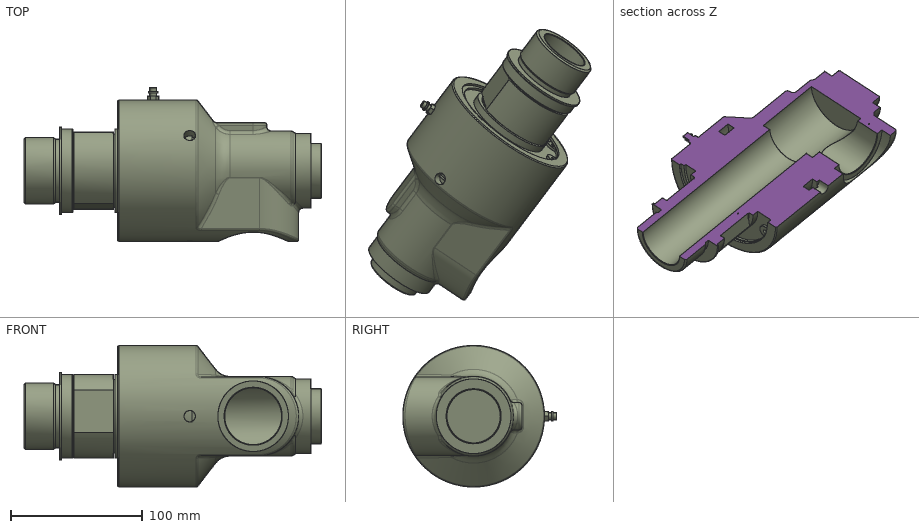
import cadquery as cq
import math

TOTAL_LENGTH = 227.0
HOUSING_DIA = 108.0
BORE_DIA = 37.2

THREAD_DIA = 50.8
THREAD_LENGTH = 24.0
THREAD_CHAMFER = 1.4
NECK_DIA = 48.3
FLANGE_DIA = 66.7
FLANGE_START = 27.2
FLANGE_WIDTH = 1.5
SHAFT_DIA = 64.0
COLLAR_END = 37.5
COLLAR_CHAMFER = 0.7
FLATS_START = 38.1
FLATS_END = 68.3
RELIEF_DIA = 56.3
END_COLLAR_START = 69.5
FLATS_ACROSS = 55.0
FLATS_TILT = 8.0
BORE_MOUTH_DIA = 38.1

HOUSING_START = 71.5
HOUSING_CHAMFER = 1.0
DRUM_END = 132.0
CONE_END = 150.2
CONE_BLEND_RADIUS = 13.6
BARREL_DIA = 60.8
BARREL_END = 204.5
END_CAP_START = 207.2
END_CAP_DIA = 57.0
END_CAP_END = 218.7
TIP_DIA = 42.0
TIP_CHAMFER = 0.7

ARM_HALF_WIDTH = 30.0
ARM_ROUND_X = 179.5
ARM_OVERLAP = 11.3
ARM_RIM_FILLET = 1.8
ARM_BLEND = 3.2
PORT_X = 174.7
PORT_DIA = 43.3
PORT_MOUTH_DIA = 44.2
SPOT_FACE_DIA = 53.8
SPOT_FACE_Y = -45.4
CHAMBER_DIA = 50.0
CHAMBER_START = 145.2
CHAMBER_END = 199.7

PAD_START = 136.1
PAD_ROUND_X = PORT_X
PAD_HALF_WIDTH = 10.5
PAD_TOP_Y = 36.8
PAD_TOP_FILLET = 2.0
PAD_ROOT_FILLET = 3.2

SEAT_DIA = 90.0
SEAT_DEPTH = 3.5
RING_THICKNESS = 1.8
RING_INNER_DIA = 86.7
RING_OFFSET = 1.5
LUG_Y = -41.0
LUG_Z = 14.5
LUG_DIA = 10.7
LUG_HOLE_DIA = 3.5

WEEP_DIA = 8.6
WEEP_X = 126.5
WEEP_COUNT = 3
WEEP_DEPTH = 9.0
WEEP_GROOVE_START = 118.0
WEEP_GROOVE_END = 128.0
WEEP_GROOVE_OUTER_DIA = 92.1
WEEP_GROOVE_INNER_DIA = 80.8

NIPPLE_X = 98.5
NIPPLE_TIP_Y = 63.3
NIPPLE_EMBED = 2.3
NIPPLE_HEX_DIA = 8.6
NIPPLE_HEX_TOP_Y = 57.0
NIPPLE_NECK_DIA = 5.5
NIPPLE_BEAD_DIA = 7.3
NIPPLE_BEAD_Y = 60.0
NIPPLE_BEAD_HEIGHT = 1.4

EDGE_MARGIN = 0.2

HOUSING_RADIUS = HOUSING_DIA / 2
BARREL_RADIUS = BARREL_DIA / 2


def disc_x(diameter, start, end, y=0.0, z=0.0):
    """Cylinder parallel to X between two X positions."""
    return cq.Workplane("YZ", origin=(start, y, z)).circle(diameter / 2).extrude(end - start)


def disc_y(diameter, x, start, end):
    """Cylinder parallel to Y at the given X, between two Y positions."""
    base = cq.Vector(x, start, 0)
    return cq.Workplane(cq.Solid.makeCylinder(diameter / 2, end - start, base, cq.Vector(0, 1, 0)))


def bevel_cone(mouth_dia, hole_dia, base, direction):
    """Cone that bevels the mouth of a hole at 45 degrees."""
    depth = (mouth_dia - hole_dia) / 2
    cone = cq.Solid.makeCone(mouth_dia / 2, hole_dia / 2, depth, cq.Vector(*base), cq.Vector(*direction))
    return cq.Workplane(cone)


def slot_y(start_x, round_x, half_width, start_y, end_y):
    """Block along X with a full-round +X end, raised along Y."""
    block = cq.Workplane("XY").box(round_x - start_x, end_y - start_y, 2 * half_width, centered=False)
    block = block.translate((start_x, start_y, -half_width))
    return block.union(disc_y(2 * half_width, round_x, start_y, end_y))


def edges_within(body, low, high):
    """Edges that lie wholly inside the box between two corners."""
    return body.edges(cq.selectors.BoxSelector(low, high, boundingbox=True))


def make_shaft():
    """Threaded spigot, neck, flange, collars and the section with two wrench flats."""
    shaft_end = HOUSING_START + SEAT_DEPTH
    thread = disc_x(THREAD_DIA, 0, THREAD_LENGTH).edges().chamfer(THREAD_CHAMFER)
    neck = disc_x(NECK_DIA, THREAD_LENGTH - THREAD_CHAMFER, FLANGE_START)
    flange = disc_x(FLANGE_DIA, FLANGE_START, FLANGE_START + FLANGE_WIDTH)
    collar = disc_x(SHAFT_DIA, FLANGE_START, COLLAR_END).faces(">X").chamfer(COLLAR_CHAMFER)
    core = disc_x(FLATS_ACROSS, FLANGE_START, FLATS_START)
    relief = disc_x(RELIEF_DIA, FLATS_END, END_COLLAR_START)
    end_collar = disc_x(SHAFT_DIA, END_COLLAR_START, shaft_end)

    flats = cq.Workplane("XY").box(TOTAL_LENGTH, FLATS_ACROSS, HOUSING_DIA)
    flats = flats.rotate((0, 0, 0), (1, 0, 0), -FLATS_TILT)
    wrench = disc_x(SHAFT_DIA, FLATS_START, FLATS_END).intersect(flats)

    shaft = thread
    for section in (neck, flange, collar, core, wrench, relief, end_collar):
        shaft = shaft.union(section)
    return shaft


def make_turned_housing():
    """Drum, cone and barrel as one revolved outline, with a tangent arc at the cone foot."""
    slope = math.atan2(HOUSING_RADIUS - BARREL_RADIUS, CONE_END - DRUM_END)
    tangent = CONE_BLEND_RADIUS * math.tan(slope / 2)
    arc_start = (CONE_END - tangent * math.cos(slope), BARREL_RADIUS + tangent * math.sin(slope))
    arc_end = (CONE_END + tangent, BARREL_RADIUS)
    arc_mid = (
        arc_end[0] - CONE_BLEND_RADIUS * math.sin(slope / 2),
        BARREL_RADIUS + CONE_BLEND_RADIUS * (1 - math.cos(slope / 2)),
    )
    return (
        cq.Workplane("XY")
        .moveTo(HOUSING_START, 0)
        .lineTo(HOUSING_START, HOUSING_RADIUS - HOUSING_CHAMFER)
        .lineTo(HOUSING_START + HOUSING_CHAMFER, HOUSING_RADIUS)
        .lineTo(DRUM_END, HOUSING_RADIUS)
        .lineTo(*arc_start)
        .threePointArc(arc_mid, arc_end)
        .lineTo(BARREL_END, BARREL_RADIUS)
        .lineTo(END_CAP_START, END_CAP_DIA / 2)
        .lineTo(END_CAP_END, END_CAP_DIA / 2)
        .lineTo(END_CAP_END, 0)
        .close()
        .revolve(360, (0, 0, 0), (1, 0, 0))
    )


def make_arm():
    """Port arm: flat sides, round end, and an outer face that continues the drum surface."""
    start = DRUM_END - ARM_OVERLAP
    arm = slot_y(start, ARM_ROUND_X, ARM_HALF_WIDTH, -HOUSING_RADIUS, 0)
    return arm.intersect(disc_x(HOUSING_DIA, start, TOTAL_LENGTH))


def blend_arm(body):
    """Round the corners where the arm meets the cone, the barrel and the end cap, and its outer rim."""
    side = ARM_HALF_WIDTH + EDGE_MARGIN
    round_start = ARM_ROUND_X - EDGE_MARGIN
    round_end = ARM_ROUND_X + side
    rim_inner_y = -math.sqrt(HOUSING_RADIUS**2 - ARM_HALF_WIDTH**2)

    low = (DRUM_END - EDGE_MARGIN, rim_inner_y - EDGE_MARGIN, -side)
    high = (CONE_END + CONE_BLEND_RADIUS, -EDGE_MARGIN, side)
    body = edges_within(body, low, high).edges("%HYPERBOLA or %BSPLINE").fillet(ARM_BLEND)

    low = (round_start, -BARREL_RADIUS, -side)
    high = (round_end, -EDGE_MARGIN, side)
    body = edges_within(body, low, high).edges("%BSPLINE").fillet(ARM_BLEND)

    low = (round_start, -HOUSING_RADIUS - EDGE_MARGIN, -side)
    high = (round_end, rim_inner_y + EDGE_MARGIN, side)
    return edges_within(body, low, high).edges("%BSPLINE").fillet(ARM_RIM_FILLET)


def add_pad(body):
    """Raised pad with a rounded top edge and a soft root on the barrel and cone."""
    pad = slot_y(PAD_START, PAD_ROUND_X, PAD_HALF_WIDTH, 0, PAD_TOP_Y)
    body = body.union(pad.faces(">Y").edges("not <X").fillet(PAD_TOP_FILLET))

    side = PAD_HALF_WIDTH + EDGE_MARGIN
    low = (DRUM_END + EDGE_MARGIN, 0, -side)
    high = (PAD_ROUND_X + side, PAD_TOP_Y + EDGE_MARGIN, side)
    curved_root = edges_within(body, low, high).edges("%HYPERBOLA or %BSPLINE")
    straight_root = edges_within(body, low, (high[0], BARREL_RADIUS, side)).edges("|X")
    return curved_root.add(straight_root).fillet(PAD_ROOT_FILLET)


def cut_port(body):
    """Spot-faced side port with a bevelled mouth, leading into a round chamber on the part axis."""
    spot_face = disc_y(SPOT_FACE_DIA, PORT_X, -HOUSING_DIA, SPOT_FACE_Y)
    mouth = bevel_cone(PORT_MOUTH_DIA, PORT_DIA, (PORT_X, SPOT_FACE_Y, 0), (0, 1, 0))
    port = disc_y(PORT_DIA, PORT_X, -HOUSING_DIA, 0)
    chamber = disc_x(CHAMBER_DIA, CHAMBER_START, CHAMBER_END)
    return body.cut(spot_face).cut(mouth).cut(port).cut(chamber)


def cut_ring_seat(body):
    """Recess in the open end of the drum, floored by an eccentric retaining ring with two lugs."""
    ring_back = HOUSING_START + SEAT_DEPTH
    ring_front = ring_back - RING_THICKNESS
    seat = disc_x(SEAT_DIA, HOUSING_START, ring_back)
    blank = disc_x(SEAT_DIA, ring_front, ring_back)
    ring = blank.cut(disc_x(RING_INNER_DIA, ring_front, ring_back, y=-RING_OFFSET))
    for z in (-LUG_Z, LUG_Z):
        lug = disc_x(LUG_DIA, ring_front, ring_back, LUG_Y, z)
        ring = ring.union(lug.intersect(blank))
        ring = ring.cut(disc_x(LUG_HOLE_DIA, ring_front, ring_back, LUG_Y, z))
    return body.cut(seat).union(ring)


def cut_weep_holes(body):
    """Radial holes around the drum that open into a ring-shaped groove inside it."""
    groove = disc_x(WEEP_GROOVE_OUTER_DIA, WEEP_GROOVE_START, WEEP_GROOVE_END)
    groove = groove.cut(disc_x(WEEP_GROOVE_INNER_DIA, WEEP_GROOVE_START, WEEP_GROOVE_END))
    body = body.cut(groove)
    hole = disc_y(WEEP_DIA, WEEP_X, -HOUSING_DIA, WEEP_DEPTH - HOUSING_RADIUS)
    for index in range(WEEP_COUNT):
        body = body.cut(hole.rotate((0, 0, 0), (1, 0, 0), index * 360 / WEEP_COUNT))
    return body


def make_nipple():
    """Grease nipple: hexagon foot, neck with a bead, standing on the drum along +Y."""
    root_y = HOUSING_RADIUS - NIPPLE_EMBED
    plane = cq.Plane(origin=(NIPPLE_X, root_y, 0), xDir=(1, 0, 0), normal=(0, 1, 0))
    foot = cq.Workplane(plane).polygon(6, NIPPLE_HEX_DIA).extrude(NIPPLE_HEX_TOP_Y - root_y)
    neck = disc_y(NIPPLE_NECK_DIA, NIPPLE_X, root_y, NIPPLE_TIP_Y)
    half_bead = NIPPLE_BEAD_HEIGHT / 2
    bead = disc_y(NIPPLE_BEAD_DIA, NIPPLE_X, NIPPLE_BEAD_Y - half_bead, NIPPLE_BEAD_Y + half_bead)
    return foot.union(neck).union(bead)


def make_bore():
    """Bore from the shaft end into the chamber, with a bevelled mouth."""
    bore = disc_x(BORE_DIA, 0, CHAMBER_START)
    return bore.union(bevel_cone(BORE_MOUTH_DIA, BORE_DIA, (0, 0, 0), (1, 0, 0)))


housing = blend_arm(make_turned_housing().union(make_arm()))
housing = add_pad(housing)
housing = cut_port(housing)
housing = cut_ring_seat(housing)
housing = cut_weep_holes(housing)

tip = disc_x(TIP_DIA, END_CAP_END, TOTAL_LENGTH).faces(">X").chamfer(TIP_CHAMFER)
result = housing.union(tip).union(make_shaft()).union(make_nipple()).cut(make_bore())